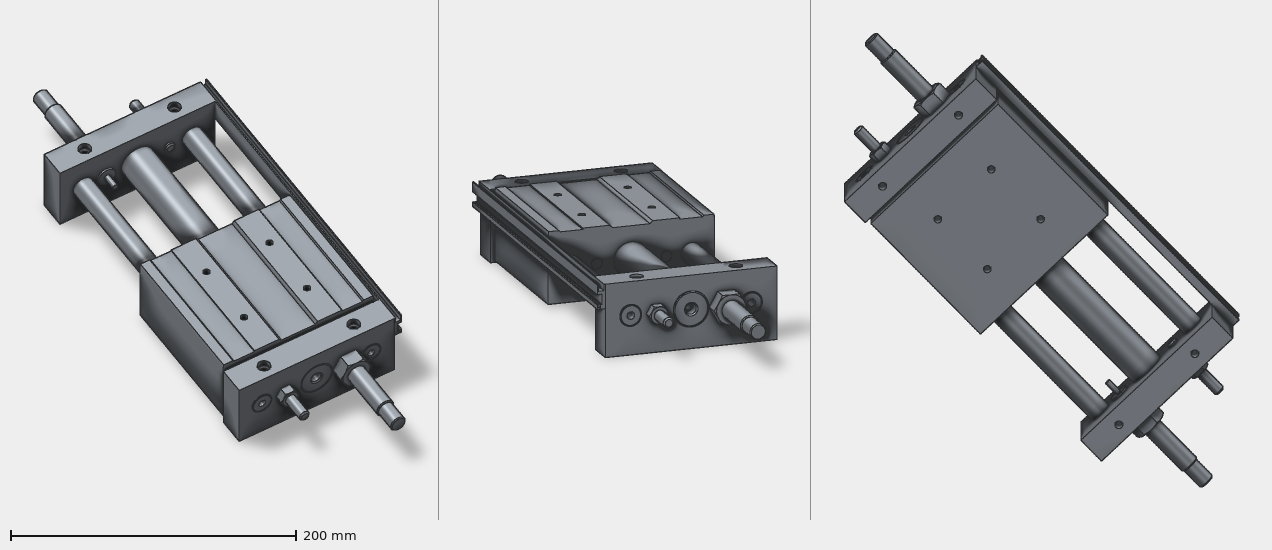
import cadquery as cq
import math


axis_y = -3.0
axis_z = 1.0

frame_length = 260.0
plate_thickness = 21.0
plate_width = 128.0
plate_bottom = -28.0
plate_top = 26.0
plate_height = plate_top - plate_bottom
plate_outer_x = frame_length / 2
plate_inner_x = plate_outer_x - plate_thickness
plate_mid_x = (plate_outer_x + plate_inner_x) / 2
plate_side_y = axis_y + plate_width / 2

mount_offset_y = 37.0
mount_hole_diameter = 5.5
mount_counterbore_diameter = 9.5
mount_counterbore_depth = 5.4

tube_diameter = 26.4
tube_end_chamfer = 1.0
rod_diameter = 16.0
rod_offset_y = 45.0
rod_end_chamfer = 0.8
rod_thread_diameter = 5.5
rod_thread_depth = 12.0
port_mouth_diameter = 10.0
port_diameter = 8.0
port_depth = 8.0
port_bore_diameter = 5.5
port_bore_depth = 16.0

rail_width = 6.0
rail_end_setback = 0.1
rail_height = 18.0
rail_wall = 1.0
rail_web = 2.5
rail_groove_depth = 4.7
rail_groove_floor = 2.5
rail_lip_rise = 3.3
rail_lip_wall = 1.2
rail_heel = 1.0

table_start_x = -5.5
table_length = 111.0
table_width = 124.0
table_bottom = -25.5
table_base_top = 26.0
table_top = 28.0
table_step_top = 27.0
table_end_x = table_start_x + table_length
table_mid_x = table_start_x + table_length / 2
edge_strip_inner_y = 54.0
edge_strip_bottom = 25.5
edge_strip_draft = 0.4
pad_outer_y = 36.2
pad_inner_y = 15.9
table_hole_diameter = 5.2
table_hole_pitch = 50.0

stop_offset_y = 26.0
nut_bevel_angle = 30.0
bumper_diameter = 8.0
bumper_height = 1.0
table_end_stop_x = table_end_x + bumper_height

absorber_diameter = 14.0
absorber_end_diameter = 12.38
absorber_cap_diameter = 12.0
absorber_tip_x = 197.0
absorber_step_x = 180.0
absorber_inner_x = plate_inner_x - 1.5
absorber_cap_chamfer = 0.8
absorber_pin_diameter = 4.0
absorber_nut_flats = 22.0
absorber_nut_height = 11.0
absorber_nut_bevel = 1.7
extended_pin_length = 11.0

bolt_diameter = 8.0
bolt_tip_x = 156.5
bolt_end_chamfer = 1.2
bolt_nut_flats = 13.0
bolt_nut_height = 7.0
bolt_nut_bevel = 1.2


def x_cylinder(diameter, x_start, x_end, offset_y=0.0):
    """Round bar along X, offset_y away from the cylinder axis."""
    return (
        cq.Workplane("YZ", origin=(x_start, axis_y + offset_y, axis_z))
        .circle(diameter / 2)
        .extrude(x_end - x_start)
    )


def turn_half(body):
    """The body turned half a turn about the vertical line through the cylinder axis and x = 0."""
    return body.rotate((0, axis_y, 0), (0, axis_y, 1), 180)


def x_revolve(points, offset_y):
    """Turned part from (x, radius) points, on an axis along X offset_y from the cylinder axis."""
    return (
        cq.Workplane("XY", origin=(0, axis_y + offset_y, axis_z))
        .polyline(points)
        .close()
        .revolve(360, (0, 0, 0), (1, 0, 0))
    )


def hex_nut(flats, height, bevel, offset_y):
    """Nut seated on the outer face of the +X plate, with its outer corners bevelled."""
    corner_radius = flats / math.sqrt(3)
    hexagon = (
        cq.Workplane("YZ", origin=(plate_outer_x, axis_y + offset_y, axis_z))
        .polygon(6, 2 * corner_radius)
        .extrude(height)
    )
    envelope = x_cylinder(
        2 * corner_radius, plate_outer_x, plate_outer_x + height, offset_y
    )
    bevel_length = bevel * math.tan(math.radians(nut_bevel_angle))
    envelope = envelope.faces(">X").chamfer(bevel_length, bevel)
    return hexagon.intersect(envelope)


def end_plate():
    """The plain block of the +X end plate."""
    return (
        cq.Workplane("XY", origin=(plate_mid_x, axis_y, plate_bottom))
        .rect(plate_thickness, plate_width)
        .extrude(plate_height)
    )


def mounting_hole(offset_y):
    """Counterbored hole down through the +X plate; it clips the side of the guide rod there."""
    top = cq.Workplane("XY", origin=(plate_mid_x, axis_y + offset_y, plate_top))
    through = top.circle(mount_hole_diameter / 2).extrude(-plate_height)
    counterbore = top.circle(mount_counterbore_diameter / 2).extrude(-mount_counterbore_depth)
    return through.union(counterbore)


def bevel_notch(diameter, chamfer, offset_y):
    """Ring notch that the chamfered end of a bar leaves in the outer face of the +X plate."""
    radius = diameter / 2
    return x_revolve(
        [
            (plate_outer_x, radius - chamfer),
            (plate_outer_x, radius),
            (plate_outer_x - chamfer, radius),
        ],
        offset_y,
    )


def air_port():
    """Port in the end of the tube: bevelled mouth, thread bore and a smaller bore behind it."""
    mouth_depth = (port_mouth_diameter - port_diameter) / 2
    port_floor_x = plate_outer_x - port_depth
    return x_revolve(
        [
            (plate_outer_x, 0),
            (plate_outer_x, port_mouth_diameter / 2),
            (plate_outer_x - mouth_depth, port_diameter / 2),
            (port_floor_x, port_diameter / 2),
            (port_floor_x, port_bore_diameter / 2),
            (plate_outer_x - port_bore_depth, port_bore_diameter / 2),
            (plate_outer_x - port_bore_depth, 0),
        ],
        0,
    )


def end_cuts():
    """Everything cut into the +X end of the frame."""
    cuts = air_port().union(bevel_notch(tube_diameter, tube_end_chamfer, 0))
    for rod_y in (-rod_offset_y, rod_offset_y):
        cuts = cuts.union(bevel_notch(rod_diameter, rod_end_chamfer, rod_y))
        cuts = cuts.union(
            x_cylinder(rod_thread_diameter, plate_outer_x - rod_thread_depth, plate_outer_x, rod_y)
        )
    for mount_y in (-mount_offset_y, mount_offset_y):
        cuts = cuts.union(mounting_hole(mount_y))
    cuts = cuts.union(
        x_cylinder(absorber_diameter, plate_inner_x, plate_outer_x, stop_offset_y)
    )
    return cuts.union(
        x_cylinder(bolt_diameter, plate_inner_x, plate_outer_x, -stop_offset_y)
    )


def sensor_rail():
    """Rail with an open groove along its top and a hooked lip along its bottom."""
    rail_end_x = plate_outer_x - rail_end_setback
    inner_y = plate_side_y
    flange_y = inner_y + rail_wall
    web_y = inner_y + rail_web
    heel_y = web_y + rail_heel
    outer_y = inner_y + rail_width
    groove_y = outer_y - rail_wall
    top = plate_top
    bottom = top - rail_height
    groove_z = top - rail_groove_depth
    shelf_z = groove_z - rail_groove_floor
    return (
        cq.Workplane("YZ", origin=(-rail_end_x, 0, 0))
        .moveTo(inner_y, bottom)
        .lineTo(outer_y, bottom)
        .lineTo(outer_y, bottom + rail_lip_rise)
        .lineTo(outer_y - rail_lip_wall, bottom + rail_lip_rise)
        .lineTo(outer_y - rail_lip_wall, bottom + rail_wall)
        .lineTo(heel_y, bottom + rail_wall)
        .lineTo(heel_y, bottom + rail_lip_rise)
        .lineTo(web_y, bottom + rail_lip_rise)
        .lineTo(web_y, shelf_z)
        .lineTo(outer_y, shelf_z)
        .lineTo(outer_y, top)
        .lineTo(groove_y, top)
        .lineTo(groove_y, groove_z)
        .lineTo(flange_y, groove_z)
        .lineTo(flange_y, top)
        .lineTo(inner_y, top)
        .close()
        .extrude(2 * rail_end_x)
    )


def frame():
    plate = end_plate()
    body = plate.union(turn_half(plate))
    body = body.union(x_cylinder(tube_diameter, -plate_outer_x, plate_outer_x))
    for rod_y in (-rod_offset_y, rod_offset_y):
        body = body.union(x_cylinder(rod_diameter, -plate_outer_x, plate_outer_x, rod_y))
    body = body.union(sensor_rail())
    cuts = end_cuts()
    return body.cut(cuts).cut(turn_half(cuts))


def table_profile():
    """Cross-section: raised edge strips and pads, shallow steps between them, a sunk middle."""
    half = table_width / 2
    strip_slope = table_top - table_step_top
    pad_slope = table_top - table_base_top
    right_side = [
        (half, table_bottom),
        (half, edge_strip_bottom),
        (half - edge_strip_draft, table_top),
        (edge_strip_inner_y, table_top),
        (edge_strip_inner_y - strip_slope, table_step_top),
        (pad_outer_y, table_step_top),
        (pad_outer_y, table_top),
        (pad_inner_y, table_top),
        (pad_inner_y - pad_slope, table_base_top),
    ]
    left_side = [(-y, z) for y, z in reversed(right_side)]
    return right_side + left_side


def slide_table():
    body = (
        cq.Workplane("YZ", origin=(table_start_x, axis_y, 0))
        .polyline(table_profile())
        .close()
        .extrude(table_length)
    )
    for stop_y in (-stop_offset_y, stop_offset_y):
        bumper = x_cylinder(
            bumper_diameter, table_start_x - bumper_height, table_end_stop_x, stop_y
        )
        body = body.union(bumper)
    body = body.cut(x_cylinder(tube_diameter, table_start_x, table_end_x))
    for rod_y in (-rod_offset_y, rod_offset_y):
        body = body.cut(x_cylinder(rod_diameter, table_start_x, table_end_x, rod_y))
    mounting_holes = (
        cq.Workplane("XY", origin=(table_mid_x, axis_y, table_bottom))
        .rarray(table_hole_pitch, 2 * stop_offset_y, 2, 2)
        .circle(table_hole_diameter / 2)
        .extrude(table_top - table_bottom)
    )
    return body.cut(mounting_holes)


def shock_absorber(pin_length):
    body_radius = absorber_diameter / 2
    end_radius = absorber_end_diameter / 2
    cap_radius = absorber_cap_diameter / 2
    pin_radius = absorber_pin_diameter / 2
    pin_end_x = absorber_inner_x - pin_length
    body = x_revolve(
        [
            (pin_end_x, 0),
            (pin_end_x, pin_radius),
            (absorber_inner_x, pin_radius),
            (absorber_inner_x, body_radius),
            (absorber_step_x - (body_radius - end_radius), body_radius),
            (absorber_step_x, end_radius),
            (absorber_step_x, cap_radius),
            (absorber_tip_x - absorber_cap_chamfer, cap_radius),
            (absorber_tip_x, cap_radius - absorber_cap_chamfer),
            (absorber_tip_x, 0),
        ],
        stop_offset_y,
    )
    return body.union(hex_nut(absorber_nut_flats, absorber_nut_height, absorber_nut_bevel, stop_offset_y))


def stop_bolt():
    bolt = x_cylinder(bolt_diameter, table_end_stop_x, bolt_tip_x, -stop_offset_y)
    bolt = bolt.faces("<X or >X").chamfer(bolt_end_chamfer)
    return bolt.union(hex_nut(bolt_nut_flats, bolt_nut_height, bolt_nut_bevel, -stop_offset_y))


pressed_pin_length = absorber_inner_x - table_end_stop_x

cylinder_frame = frame()
table = slide_table()
absorbers = [shock_absorber(pressed_pin_length), turn_half(shock_absorber(extended_pin_length))]
bolts = [stop_bolt(), turn_half(stop_bolt())]

bodies = [cylinder_frame, table] + absorbers + bolts
result = cq.Compound.makeCompound([body.solids().val() for body in bodies])